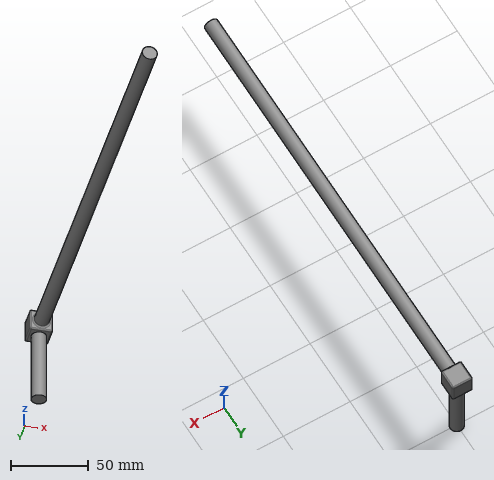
import cadquery as cq

block_size = 15.0
block_face = block_size / 2
edge_radius = 1.0

rod_diameter = 10.0
long_rod_length = 300.0
short_rod_length = 50.0

root_radius = 1.0


def make_block():
    """Cube with every edge rounded."""
    return cq.Workplane("XY").box(block_size, block_size, block_size).edges().fillet(edge_radius)


def add_long_rod(body):
    """Add the rod along -Y and blend its root into the front face."""
    rod = cq.Workplane("XZ").circle(rod_diameter / 2).extrude(block_face + long_rod_length)
    front_face_centre = (0, -block_face, 0)
    joined = body.union(rod)
    front_face = joined.faces(cq.selectors.NearestToPointSelector(front_face_centre))
    return front_face.edges("%CIRCLE").fillet(root_radius)


def add_short_rod(body):
    """Add the plain rod along -Z."""
    rod = cq.Workplane("XY").circle(rod_diameter / 2).extrude(-(block_face + short_rod_length))
    return body.union(rod)


result = add_short_rod(add_long_rod(make_block()))